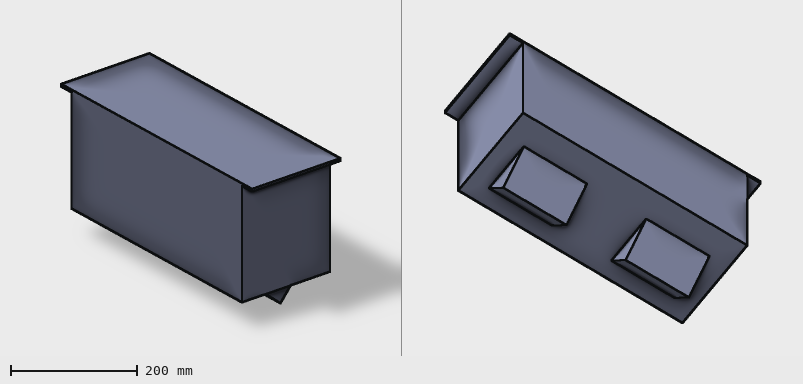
import cadquery as cq

plate_length = 483.0
plate_thickness = 5.0
body_length = 432.0
depth = 178.0
total_height = 257.0
prism_height = 48.5
prism_length = 122.0
prism_spacing = 236.0
prism_front_y = -38.0
prism_back_y = 57.5
prism_tip_y = 18.5

body_height = total_height - plate_thickness - prism_height

body = cq.Workplane("XY").box(body_length, depth, body_height, centered=(True, True, False))

plate = (
    cq.Workplane("XY")
    .box(plate_length, depth, plate_thickness, centered=(True, True, False))
    .translate((0, 0, body_height))
)


def triangular_prism(center_x):
    """Prism hanging below the body, with its lower edge along X."""
    return (
        cq.Workplane("YZ", origin=(center_x - prism_length / 2, 0, 0))
        .polyline([(prism_front_y, 0), (prism_back_y, 0), (prism_tip_y, -prism_height)])
        .close()
        .extrude(prism_length)
    )


result = body.union(plate)
for side in (-1, 1):
    result = result.union(triangular_prism(side * prism_spacing / 2))